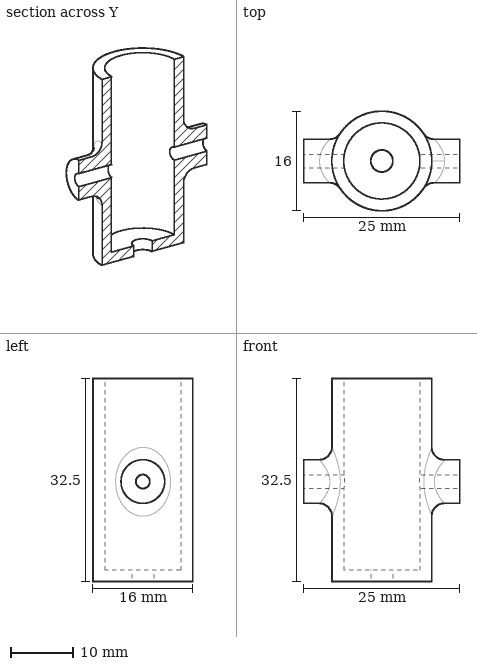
import cadquery as cq

tube_diameter = 16.0
tube_height = 32.5
bore_diameter = 12.2
floor_thickness = (tube_diameter - bore_diameter) / 2
drain_diameter = 3.5

port_span = 25.0
port_diameter = 7.0
port_hole_diameter = 2.2
port_height = 16.0
port_blend_radius = 2.0


def x_cylinder(diameter):
    """Cylinder along X on the port axis, spanning both port end faces."""
    return (
        cq.Workplane("YZ", origin=(0, 0, port_height))
        .circle(diameter / 2)
        .extrude(port_span / 2, both=True)
    )


def make_outer_body():
    """Solid tube with both ports, filleted where they meet the tube."""
    tube = cq.Workplane("XY").circle(tube_diameter / 2).extrude(tube_height)
    body = tube.union(x_cylinder(port_diameter))
    joint_zone = cq.selectors.BoxSelector(
        (-port_span / 2 + port_blend_radius, -port_diameter, port_height - port_diameter),
        (port_span / 2 - port_blend_radius, port_diameter, port_height + port_diameter),
        boundingbox=True,
    )
    return body.edges(joint_zone).fillet(port_blend_radius)


def cut_vertical_bores(body):
    """Blind bore from the top and the smaller drain hole through the floor."""
    bore = (
        cq.Workplane("XY", origin=(0, 0, floor_thickness))
        .circle(bore_diameter / 2)
        .extrude(tube_height - floor_thickness)
    )
    drain = cq.Workplane("XY").circle(drain_diameter / 2).extrude(tube_height)
    return body.cut(bore).cut(drain)


def cut_port_holes(body):
    """One straight hole through both ports into the bore."""
    return body.cut(x_cylinder(port_hole_diameter))


result = cut_port_holes(cut_vertical_bores(make_outer_body()))